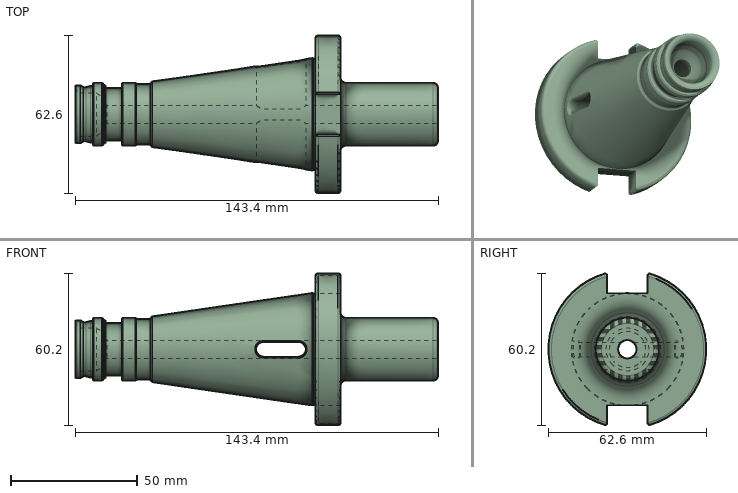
import cadquery as cq
import math

total_length = 143.4
cone_start = 30.4
cone_end = 93.6
flange_front = 94.8
flange_thickness = 10.0
flange_back = flange_front + flange_thickness

rim_radius = 11.5
rim_length = 1.9
rim_chamfer_length = 0.6
rim_chamfer_depth = 0.1
groove_radius = 10.8
groove_start = 3.2
groove_end = 4.0
land_radius = 11.2
land_start = 5.9
collar_radius = 12.5
collar_edge = 0.6
front_collar_start = 6.7
front_collar_end = 11.0
lip_radius = 11.6
lip_chamfer = 0.5
neck_radius = 10.5
neck_start = 11.9
rear_collar_start = 18.2
rear_collar_end = 24.1
pilot_radius = 12.0
rear_collar_chamfer = collar_radius - pilot_radius
pilot_end = 29.5

taper_ratio = 7 / 24
cone_small_radius = 13.0
cone_large_radius = cone_small_radius + (cone_end - cone_start) * taper_ratio / 2
relief_radius = 22.1
relief_start = 94.0

flange_radius = 31.3
flange_front_fillet = 1.3
flange_back_fillet = 1.1
drive_slot_width = 15.9
drive_slot_floor = 22.2
drive_slot_chamfer = 0.7

shank_radius = 12.5
shank_root_fillet = 2.0
shank_end_fillet = 2.2

cross_slot_start = 71.4
cross_slot_end = 91.0
cross_slot_height = 5.7
cross_slot_chamfer = 0.5

lead_in_radius = 8.6
mouth_fillet = 2.0
lead_in_end = 5.9
seat_radius = 8.5
seat_start = 6.9
seat_end = 8.2
bore_neck_radius = 7.2
bore_neck_end = 10.3
through_radius = 3.6
bore_cone_half_angle = math.radians(60)
bore_cone_end = bore_neck_end + (bore_neck_radius - through_radius) / math.tan(bore_cone_half_angle)


def turned(points):
    """Solid of revolution about the X axis from (x, radius) points, closed along the axis."""
    outline = [(points[0][0], 0)] + points + [(points[-1][0], 0)]
    return cq.Workplane("XZ").polyline(outline).close().revolve(360, (0, 0, 0), (1, 0, 0))


def make_nose_and_cone():
    return turned([
        (0, rim_radius - rim_chamfer_depth),
        (rim_chamfer_length, rim_radius),
        (rim_length, rim_radius),
        (groove_start, groove_radius),
        (groove_end, groove_radius),
        (land_start, land_radius),
        (front_collar_start, land_radius),
        (front_collar_start, collar_radius - collar_edge),
        (front_collar_start + collar_edge, collar_radius),
        (front_collar_end - collar_edge, collar_radius),
        (front_collar_end, collar_radius - collar_edge),
        (front_collar_end, lip_radius),
        (neck_start - lip_chamfer, lip_radius),
        (neck_start, lip_radius - lip_chamfer),
        (neck_start, neck_radius),
        (rear_collar_start, neck_radius),
        (rear_collar_start, collar_radius - collar_edge),
        (rear_collar_start + collar_edge, collar_radius),
        (rear_collar_end - rear_collar_chamfer, collar_radius),
        (rear_collar_end, pilot_radius),
        (pilot_end, pilot_radius),
        (cone_start, cone_small_radius),
        (cone_end, cone_large_radius),
        (relief_start, relief_radius),
        (flange_front, relief_radius),
    ])


def make_flange_and_shank():
    return (
        cq.Workplane("XZ")
        .moveTo(flange_front, 0)
        .lineTo(flange_front, flange_radius - flange_front_fillet)
        .radiusArc((flange_front + flange_front_fillet, flange_radius), flange_front_fillet)
        .lineTo(flange_back - flange_back_fillet, flange_radius)
        .radiusArc((flange_back, flange_radius - flange_back_fillet), flange_back_fillet)
        .lineTo(flange_back, shank_radius + shank_root_fillet)
        .radiusArc((flange_back + shank_root_fillet, shank_radius), -shank_root_fillet)
        .lineTo(total_length - shank_end_fillet, shank_radius)
        .radiusArc((total_length, shank_radius - shank_end_fillet), shank_end_fillet)
        .lineTo(total_length, 0)
        .close()
        .revolve(360, (0, 0, 0), (1, 0, 0))
    )


def make_drive_slot():
    """Cutter for the upper driving slot, with a mouth flared to chamfer its top corners."""
    half_width = drive_slot_width / 2
    corner_height = math.sqrt(flange_radius**2 - (half_width + drive_slot_chamfer) ** 2)
    flare_start = corner_height - drive_slot_chamfer
    flare_height = flange_radius - flare_start
    return (
        cq.Workplane("YZ", origin=(flange_front, 0, 0))
        .moveTo(-half_width, drive_slot_floor)
        .lineTo(half_width, drive_slot_floor)
        .lineTo(half_width, flare_start)
        .lineTo(half_width + flare_height, flange_radius)
        .lineTo(-half_width - flare_height, flange_radius)
        .lineTo(-half_width, flare_start)
        .close()
        .extrude(flange_thickness)
    )


def make_bore():
    return (
        cq.Workplane("XZ")
        .moveTo(0, 0)
        .lineTo(0, lead_in_radius + mouth_fillet)
        .radiusArc((mouth_fillet, lead_in_radius), -mouth_fillet)
        .lineTo(lead_in_end, lead_in_radius)
        .lineTo(seat_start, seat_radius)
        .lineTo(seat_end, seat_radius)
        .lineTo(bore_neck_end, bore_neck_radius)
        .lineTo(bore_cone_end, through_radius)
        .lineTo(total_length, through_radius)
        .lineTo(total_length, 0)
        .close()
        .revolve(360, (0, 0, 0), (1, 0, 0))
    )


def cut_cross_slot(body):
    """Round-ended slot along Y, with its rims on the cone chamfered."""
    length = cross_slot_end - cross_slot_start
    cutter = (
        cq.Workplane("XZ", origin=(cross_slot_start + length / 2, 0, 0))
        .slot2D(length, cross_slot_height)
        .extrude(cone_large_radius, both=True)
    )
    slot_box = cq.selectors.BoxSelector(
        (cross_slot_start - cross_slot_chamfer, -cone_large_radius, -cross_slot_height),
        (cross_slot_end + cross_slot_chamfer, cone_large_radius, cross_slot_height),
    )
    return body.cut(cutter).edges(slot_box).edges("not |Y").chamfer(cross_slot_chamfer)


body = make_nose_and_cone().union(make_flange_and_shank())
body = cut_cross_slot(body)
drive_slot = make_drive_slot()
body = body.cut(drive_slot).cut(drive_slot.rotate((0, 0, 0), (1, 0, 0), 180))
result = body.cut(make_bore())